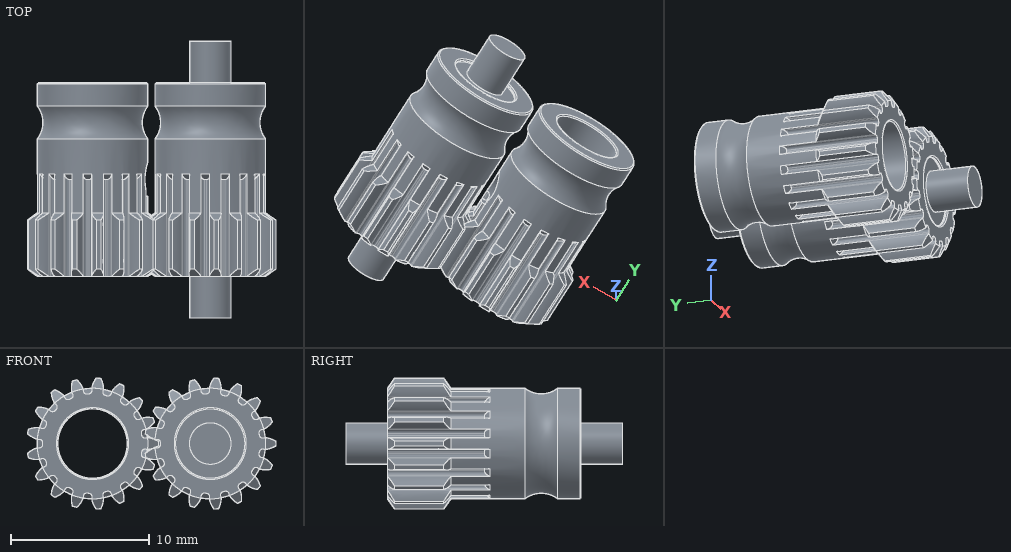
import cadquery as cq
import math

teeth = 17
module = 0.5
pressure_angle = math.radians(20)

gear_length = 14.0
barrel_radius = 4.0
bore_radius = 2.5
bore_chamfer = 0.1
rim_chamfer = 0.1

tooth_face_length = 4.6
tooth_end_slope = 35.0
root_radius = 3.6
root_fillet = 0.25
slot_length = 7.4

groove_center = 4.12
groove_width = 2.35
groove_depth = 0.4

screw_hole_radius = 1.25
screw_hole_y = 0.0

shaft_radius = 1.5
shaft_length = 20.0
bushing_recess = 0.2

cutter_margin = 0.2
flank_steps = 6

pitch_radius = module * teeth / 2
tip_radius = pitch_radius + module
base_radius = pitch_radius * math.cos(pressure_angle)
gear_spacing = 2 * pitch_radius
tooth_pitch = 360 / teeth
front_y = -gear_length / 2
rear_y = gear_length / 2
slot_end_y = front_y + slot_length


def involute(angle):
    """Involute function of a pressure angle."""
    return math.tan(angle) - angle


def gap_half_angle(radius):
    """Half the angle of the space between two teeth at a given radius."""
    radius_angle = math.acos(base_radius / radius)
    tooth_half_angle = math.pi / (2 * teeth) + involute(pressure_angle) - involute(radius_angle)
    return math.pi / teeth - tooth_half_angle


def gear_blank():
    """Turned shape of a gear: barrel, groove, bevelled tooth ring and chamfered bore."""
    bevel = (tip_radius - barrel_radius) * math.tan(math.radians(tooth_end_slope))
    ring_rear_y = front_y + tooth_face_length
    groove_front_y = groove_center - groove_width / 2
    groove_rear_y = groove_center + groove_width / 2
    return (
        cq.Workplane("XY")
        .moveTo(bore_radius + bore_chamfer, front_y)
        .lineTo(barrel_radius, front_y)
        .lineTo(tip_radius, front_y + bevel)
        .lineTo(tip_radius, ring_rear_y - bevel)
        .lineTo(barrel_radius, ring_rear_y)
        .lineTo(barrel_radius, groove_front_y)
        .threePointArc((barrel_radius - groove_depth, groove_center), (barrel_radius, groove_rear_y))
        .lineTo(barrel_radius, rear_y - rim_chamfer)
        .lineTo(barrel_radius - rim_chamfer, rear_y)
        .lineTo(bore_radius + bore_chamfer, rear_y)
        .lineTo(bore_radius, rear_y - bore_chamfer)
        .lineTo(bore_radius, front_y + bore_chamfer)
        .close()
        .revolve(360, (0, 0), (0, 1))
    )


def tooth_gap():
    """Cutter for the space between two teeth, centred on +X, with a 45 degree runout at its rear end."""
    outer_radius = tip_radius + cutter_margin
    inner_radius = root_radius - cutter_margin
    radius_step = (outer_radius - base_radius) / flank_steps
    flank_radii = [base_radius + i * radius_step for i in range(flank_steps + 1)]
    upper_flank = [
        (radius * math.cos(gap_half_angle(radius)), radius * math.sin(gap_half_angle(radius)))
        for radius in flank_radii
    ]
    lower_flank = [(x, -z) for x, z in reversed(upper_flank)]

    wall_z = upper_flank[0][1]
    wall_x = root_radius + root_fillet
    floor_z = wall_z - root_fillet
    corner_inset = root_fillet * (1 - math.sqrt(0.5))
    corner_x = root_radius + corner_inset
    corner_z = wall_z - corner_inset

    outer_end_y = slot_end_y + outer_radius - barrel_radius
    inner_end_y = slot_end_y + inner_radius - barrel_radius

    prism = (
        cq.Workplane("XZ", origin=(0, outer_end_y, 0))
        .moveTo(root_radius, -floor_z)
        .lineTo(root_radius, floor_z)
        .threePointArc((corner_x, corner_z), (wall_x, wall_z))
        .lineTo(*upper_flank[0])
        .spline(upper_flank[1:], includeCurrent=True)
        .lineTo(*lower_flank[0])
        .spline(lower_flank[1:], includeCurrent=True)
        .lineTo(wall_x, -wall_z)
        .threePointArc((corner_x, -corner_z), (root_radius, -floor_z))
        .close()
        .extrude(outer_end_y - front_y)
    )
    runout = (
        cq.Workplane("XY")
        .moveTo(inner_radius, front_y)
        .lineTo(outer_radius, front_y)
        .lineTo(outer_radius, outer_end_y)
        .lineTo(inner_radius, inner_end_y)
        .close()
        .revolve(360, (0, 0), (0, 1))
    )
    return prism.intersect(runout)


def make_gear():
    """A gear with one tooth pointing along +X, on the Y axis."""
    gear = gear_blank()
    gap = tooth_gap()
    for i in range(teeth):
        gear = gear.cut(gap.rotate((0, 0, 0), (0, 1, 0), (i + 0.5) * tooth_pitch))
    return gear


def screw_hole():
    """Radial hole from the bore out through the +X side of the barrel."""
    return (
        cq.Workplane("YZ", origin=(0, screw_hole_y, 0))
        .circle(screw_hole_radius)
        .extrude(tip_radius)
    )


def make_shaft():
    """Plain round shaft, centred on the gear length."""
    return (
        cq.Workplane("XZ", origin=(0, shaft_length / 2, 0))
        .circle(shaft_radius)
        .extrude(shaft_length)
    )


def make_bushing(start_y, end_y):
    """Sleeve that fills the gear bore around the shaft."""
    return (
        cq.Workplane("XZ", origin=(0, end_y, 0))
        .circle(bore_radius)
        .circle(shaft_radius)
        .extrude(end_y - start_y)
    )


left_x = -gear_spacing / 2
right_x = gear_spacing / 2

plain_gear = make_gear()
drive_gear = plain_gear.cut(screw_hole()).translate((left_x, 0, 0))
idler_gear = plain_gear.translate((right_x, 0, 0))
shaft = make_shaft().translate((right_x, 0, 0))

bushing_ends = [
    (front_y + bushing_recess, 0),
    (0, rear_y - bushing_recess),
]
bushings = [make_bushing(start_y, end_y).translate((right_x, 0, 0)) for start_y, end_y in bushing_ends]

result = cq.Compound.makeCompound([
    *drive_gear.solids().vals(),
    *idler_gear.solids().vals(),
    shaft.val(),
    *[bushing.val() for bushing in bushings],
])